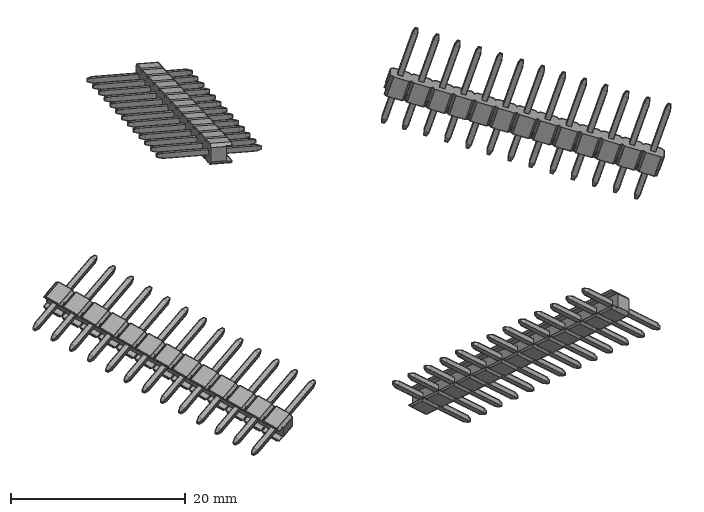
import cadquery as cq

pin_count = 13
row_length = 33.02
pitch = row_length / pin_count
pin_shift = -0.1

housing_depth = 2.55
housing_height = 2.5
end_chamfer = 0.4
notch_half_width = 0.3
notch_depth = 0.4
channel_depth = 0.7
flange_thickness = 0.33

pin_width = 0.63
pin_length = 12.4
front_reach = 6.08
taper_length = 0.6
tip_width = 0.33

front_tip_y = -front_reach
back_tip_y = front_tip_y + pin_length
cell_centres = [(i - (pin_count - 1) / 2) * pitch for i in range(pin_count)]


def make_notch(notch_x, side, half_width, depth):
    """V-shaped cutter along Y, on the top (side = 1) or bottom (side = -1) of the housing."""
    edge_z = side * housing_height / 2
    return (
        cq.Workplane("XZ")
        .polyline([
            (notch_x - half_width, edge_z),
            (notch_x, edge_z - side * depth),
            (notch_x + half_width, edge_z),
        ])
        .close()
        .extrude(-housing_depth)
    )


def make_housing():
    """Bar with V notches between cells and a channel along its back."""
    bar = cq.Workplane("XY").box(row_length, housing_depth, housing_height, centered=(True, False, True))

    for i in range(pin_count + 1):
        notch_x = i * pitch - row_length / 2
        if i in (0, pin_count):
            half_width, depth = end_chamfer, end_chamfer
        else:
            half_width, depth = notch_half_width, notch_depth
        for side in (-1, 1):
            bar = bar.cut(make_notch(notch_x, side, half_width, depth))

    channel_height = housing_height - 2 * flange_thickness
    channel = (
        cq.Workplane("XY")
        .box(row_length, channel_depth, channel_height, centered=(True, False, True))
        .translate((0, housing_depth - channel_depth, 0))
    )
    return bar.cut(channel)


def make_taper(tip_y, direction):
    """Pin end that widens from its tip along the given Y direction (+1 or -1)."""
    tip_plane = cq.Plane(origin=(0, tip_y, 0), xDir=(1, 0, 0), normal=(0, direction, 0))
    return (
        cq.Workplane(tip_plane)
        .rect(tip_width, tip_width)
        .workplane(offset=taper_length)
        .rect(pin_width, pin_width)
        .loft()
    )


def make_pin():
    shank_length = pin_length - 2 * taper_length
    shank = (
        cq.Workplane("XY")
        .box(pin_width, shank_length, pin_width, centered=(True, False, True))
        .translate((0, front_tip_y + taper_length, 0))
    )
    return shank.union(make_taper(front_tip_y, 1)).union(make_taper(back_tip_y, -1))


result = make_housing()
pin = make_pin()
for centre_x in cell_centres:
    result = result.union(pin.translate((centre_x + pin_shift, 0, 0)))